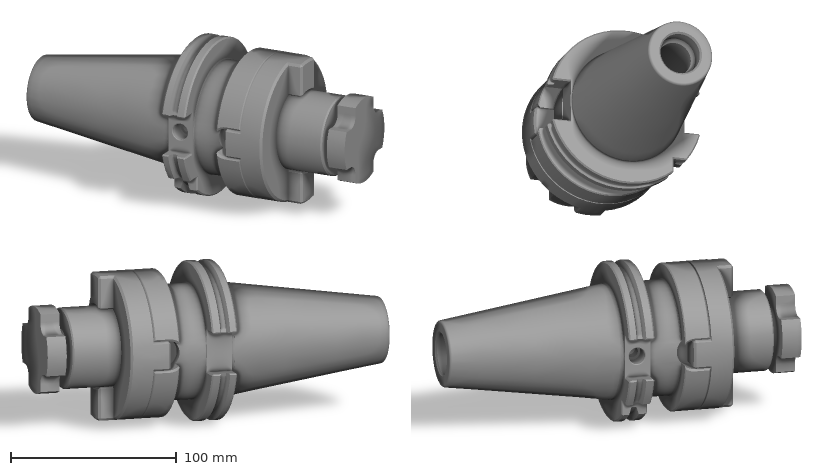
import cadquery as cq
import math

overall_length = 218.5

taper_end_radius = 35.2
taper_length = 102.7
taper_ratio = 7 / 24
taper_end_fillet = 1.5
collar_radius = 35.0
drawbar_bore_radius = 12.5
drawbar_bore_depth = 10.0
drawbar_bore_chamfer = 1.0
drawbar_thread_diameter = 20.8
drawbar_thread_radius = drawbar_thread_diameter / 2
drawbar_thread_depth = 54.6

flange_start = 105.0
flange_end = 120.9
flange_diameter = 97.3
flange_radius = flange_diameter / 2
flange_chamfer = 0.9
groove_centre = 112.5
groove_floor_width = 3.0
groove_top_width = 6.1
groove_floor_radius = 45.0
drive_slot_width = 25.0
front_slot_floor = 37.0
back_slot_floor = 35.2
corner_notch_offset = 30.0
stop_hole_radius = 3.5
stop_hole_depth = 17.5
stop_counterbore_radius = 5.0
stop_counterbore_depth = 11.0
stop_counterbore_chamfer = 0.5
drill_point_angle = 118

shank_radius = 35.2
neck_fillet = 0.7
disk_start = 140.8
disk_end = 157.2
disk_radius = 45.0
disk_back_chamfer = 0.7
disk_front_chamfer = 1.3
key_width = 18.0
key_slot_floor = 29.5
key_slot_end = 138.0
arbor_radius = 24.7
arbor_end = 202.0
arbor_chamfer = 0.9

ring_end = 171.5
key_end = 180.8
tenon_start = 146.2
ring_bore_diameter = 50.0
ring_bore_radius = ring_bore_diameter / 2
ring_chamfer = 1.3

bolt_shank_radius = 12.0
bolt_shank_depth = 43.7
bolt_fillet = 3.0
bolt_head_start = 206.5
bolt_head_radius = 26.7
bolt_lobe_width = 24.0
bolt_notch_fillet = 6.5


def turned(points):
    """Solid turned about X from a closed outline of (x, radius) points."""
    return cq.Workplane("XY").polyline(points).close().revolve(360, (0, 0, 0), (1, 0, 0))


def cylinder(start, end, radius):
    """Cylinder on the X axis between two x positions."""
    return cq.Workplane("YZ").workplane(offset=start).circle(radius).extrude(end - start)


def box(x_range, y_range, z_range):
    """Box between pairs of coordinates."""
    spans = [high - low for low, high in (x_range, y_range, z_range)]
    low_corner = cq.Vector(x_range[0], y_range[0], z_range[0])
    return cq.Workplane(cq.Solid.makeBox(*spans, low_corner))


def outer_edges(candidates, radius):
    """Return those candidate edges that lie on a cylinder of the given radius around X."""

    def lies_on_cylinder(edge):
        points = edge.positions([0, 0.25, 0.5, 0.75, 1])
        return all(math.isclose(math.hypot(p.y, p.z), radius, abs_tol=0.0002) for p in points)

    return [edge for edge in candidates.edges().vals() if lies_on_cylinder(edge)]


def cove(face, direction, neck_radius):
    """Fillet between a face across the axis and the neck that leaves it along +X or -X."""
    outer_radius = neck_radius + neck_fillet
    return (
        cq.Workplane("XY")
        .moveTo(face, 0)
        .lineTo(face, outer_radius)
        .radiusArc((face + direction * neck_fillet, neck_radius), -direction * neck_fillet)
        .lineTo(face + direction * neck_fillet, 0)
        .close()
        .revolve(360, (0, 0, 0), (1, 0, 0))
    )


def gripper_cuts():
    """Drive slots on both sides of the flange and the notch in its lower front corner."""
    x_range = (flange_start, flange_end)
    half_width = drive_slot_width / 2
    front_slot = box(x_range, (-flange_radius, -front_slot_floor), (-half_width, half_width))
    back_slot = box(x_range, (back_slot_floor, flange_radius), (-half_width, half_width))
    notch_range = (-flange_radius, -corner_notch_offset)
    notch = box(x_range, notch_range, notch_range)
    return front_slot.union(back_slot).union(notch)


def v_groove():
    """Groove around the flange rim for the tool gripper."""
    half_floor = groove_floor_width / 2
    half_top = groove_top_width / 2
    return turned(
        [
            (groove_centre - half_floor, groove_floor_radius),
            (groove_centre + half_floor, groove_floor_radius),
            (groove_centre + half_top, flange_radius),
            (groove_centre - half_top, flange_radius),
        ]
    )


def gripper_flange():
    """Flange cut by its slots and notch; its face outlines and slot mouths are chamfered."""
    flange = cylinder(flange_start, flange_end, flange_radius).cut(gripper_cuts())
    face_edges = [edge for edge in flange.faces("<X or >X").edges().vals() if abs(edge.Center().z) > 0.0002]
    rim_corners = outer_edges(flange.edges("|X"), flange_radius)
    slot_corners = [edge for edge in rim_corners if abs(edge.Center().z) < drive_slot_width]
    flange = flange.newObject(face_edges + slot_corners).chamfer(flange_chamfer)
    return flange.cut(v_groove())


def key_slots():
    """Two opposed slots with round ends that take the tenons of the drive ring."""
    half_width = key_width / 2
    end_centre = key_slot_end + half_width
    slot = (
        cq.Workplane("XZ", origin=(0, -key_slot_floor, 0))
        .moveTo(disk_end, half_width)
        .lineTo(end_centre, half_width)
        .threePointArc((key_slot_end, 0), (end_centre, -half_width))
        .lineTo(disk_end, -half_width)
        .close()
        .extrude(disk_radius)
    )
    return slot.union(slot.mirror("XZ"))


def slotted_disk():
    """Disk with the tenon slots, chamfered along its rims and the slot mouths."""
    disk = cylinder(disk_start, disk_end, disk_radius).faces("<X").chamfer(disk_back_chamfer)
    disk = disk.cut(key_slots())
    rims = outer_edges(disk, disk_radius)
    front_rims = [edge for edge in rims if edge.Center().x > disk_start + 2 * disk_back_chamfer]
    return disk.newObject(front_rims).chamfer(disk_front_chamfer)


def holder_blank():
    """Turned outside of the holder: taper, collar, flange, shank, disk and arbor."""
    small_radius = taper_end_radius - taper_length * taper_ratio / 2
    taper = turned([(0, 0), (0, small_radius), (taper_length, taper_end_radius), (taper_length, 0)])
    taper = taper.faces("<X").edges().fillet(taper_end_fillet)
    collar = cylinder(taper_length, flange_start, collar_radius).union(cove(flange_start, -1, collar_radius))
    shank = cylinder(flange_end, disk_start, shank_radius)
    shank = shank.union(cove(flange_end, 1, shank_radius)).union(cove(disk_start, -1, shank_radius))
    arbor = cylinder(disk_end, arbor_end, arbor_radius).faces(">X").chamfer(arbor_chamfer)
    return taper.union(collar).union(gripper_flange()).union(shank).union(slotted_disk()).union(arbor)


def stop_hole():
    """Counterbored blind hole with a drill point, in the floor of the front drive slot."""
    counterbore_floor = stop_counterbore_depth - front_slot_floor
    hole_floor = stop_hole_depth - front_slot_floor
    point_length = stop_hole_radius / math.tan(math.radians(drill_point_angle / 2))
    return (
        cq.Workplane("XY")
        .moveTo(groove_centre, -front_slot_floor)
        .lineTo(groove_centre + stop_counterbore_radius + stop_counterbore_chamfer, -front_slot_floor)
        .lineTo(groove_centre + stop_counterbore_radius, stop_counterbore_chamfer - front_slot_floor)
        .lineTo(groove_centre + stop_counterbore_radius, counterbore_floor)
        .lineTo(groove_centre + stop_hole_radius, counterbore_floor)
        .lineTo(groove_centre + stop_hole_radius, hole_floor)
        .lineTo(groove_centre, hole_floor + point_length)
        .close()
        .revolve(360, (groove_centre, 0, 0), (groove_centre, 1, 0))
    )


def drawbar_bore():
    """Blind bore from the small end of the taper, stepped down over a 45 degree seat."""
    seat_depth = drawbar_bore_radius - drawbar_thread_radius
    entry_radius = drawbar_bore_radius + drawbar_bore_chamfer
    return turned(
        [
            (0, 0),
            (0, entry_radius),
            (drawbar_bore_chamfer, drawbar_bore_radius),
            (drawbar_bore_depth, drawbar_bore_radius),
            (drawbar_bore_depth + seat_depth, drawbar_thread_radius),
            (drawbar_thread_depth, drawbar_thread_radius),
            (drawbar_thread_depth, 0),
        ]
    )


def make_holder():
    """Holder body; the key slots also run a little way into the shank behind the disk."""
    bolt_hole = cylinder(arbor_end - bolt_shank_depth, arbor_end, bolt_shank_radius)
    return holder_blank().cut(key_slots()).cut(stop_hole()).cut(drawbar_bore()).cut(bolt_hole)


def drive_lug(root, tip, angle):
    """Chamfered block that follows the ring's bore and rim, turned about X from +Z by an angle."""
    half_width = key_width / 2
    start, end = sorted((root, tip))
    lug = box((start, end), (-half_width, half_width), (0, disk_radius))
    sleeve = cylinder(start, end, disk_radius).cut(cylinder(start, end, ring_bore_radius))
    tip_face = ">X" if tip > root else "<X"
    lug = lug.intersect(sleeve)
    lug = lug.edges("|X").add(lug.faces(tip_face).edges()).chamfer(ring_chamfer)
    return lug.rotate((0, 0, 0), (1, 0, 0), angle)


def make_drive_ring():
    """Ring with two tenons into the disk and, a quarter turn away, two keys on its front face."""
    half_width = key_width / 2
    lug_root = (disk_end + ring_end) / 2
    ring = cylinder(disk_end, ring_end, disk_radius).faces(">X").edges().chamfer(ring_chamfer)
    ring = ring.cut(cylinder(disk_end, ring_end, ring_bore_radius))
    for angle in (0, 180):
        key = drive_lug(lug_root, key_end, angle)
        tenon = drive_lug(lug_root, tenon_start, angle + 90)
        ring = ring.union(key).union(tenon)
    slot_floors = (-key_slot_floor, key_slot_floor)
    return ring.cut(box((tenon_start, disk_end), slot_floors, (-half_width, half_width)))


def make_arbor_bolt():
    """Bolt with a cross-shaped head of four lobes, filleted under the head."""
    shank = cylinder(arbor_end - bolt_shank_depth, bolt_head_start, bolt_shank_radius)
    head_span = (bolt_head_start, overall_length)
    half_lobe = bolt_lobe_width / 2
    lobe_sides = (-half_lobe, half_lobe)
    reach = (-bolt_head_radius, bolt_head_radius)
    cross = box(head_span, reach, lobe_sides).union(box(head_span, lobe_sides, reach))
    inner_corners = cq.selectors.BoxSelector(
        (bolt_head_start, -bolt_head_radius / 2, -bolt_head_radius / 2),
        (overall_length, bolt_head_radius / 2, bolt_head_radius / 2),
    )
    cross = cross.edges("|X").edges(inner_corners).fillet(bolt_notch_fillet)
    head = cross.intersect(cylinder(bolt_head_start, overall_length, bolt_head_radius))
    bolt = head.union(shank)
    under_head = cq.selectors.NearestToPointSelector((bolt_head_start, bolt_shank_radius, 0))
    return bolt.edges("%CIRCLE").edges(under_head).fillet(bolt_fillet)


holder = make_holder()
drive_ring = make_drive_ring()
arbor_bolt = make_arbor_bolt()

result = cq.Compound.makeCompound(
    [holder.solids().val(), drive_ring.solids().val(), arbor_bolt.solids().val()]
)